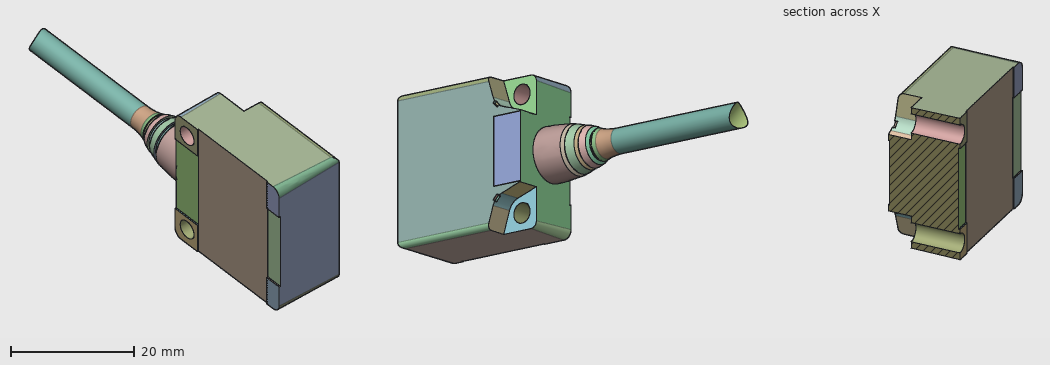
import cadquery as cq
import math

TOTAL_LENGTH = 66.0
HOUSING_SIZE = 26.0
HOUSING_DEPTH = 13.0
HALF_SIZE = HOUSING_SIZE / 2

DRAFT = 0.1
FRONT_CORNER_RADIUS = 1.5
BACK_CORNER_RADIUS = 0.9
BACK_EDGE_RADIUS = 1.0

PAD_RELIEF = 0.2
PAD_HEIGHT = 5.6
LEFT_PAD_WIDTH = 5.6
RIGHT_PAD_WIDTH = 3.1
SIDE_STRIP_RELIEF = 0.25

BACK_RECESS_HEIGHT = 11.75
BACK_RECESS_DEPTH = 0.2

HOLE_DIAMETER = 3.4
HOLE_INSET = 3.05
HOLE_HEIGHT = HALF_SIZE - HOLE_INSET
CLEARANCE_RADIUS = 2.8
CLEARANCE_ANGLE = math.radians(18)
CLEARANCE_FLOOR = 8.85
NOTCH_WIDTH = 1.2
NOTCH_DEPTH = 0.5
NOTCH_BITE = 0.4

CABLE_DIAMETER = 4.3
CABLE_RADIUS = CABLE_DIAMETER / 2
CABLE_Y = 4.95
CABLE_END = HOUSING_SIZE - TOTAL_LENGTH
CABLE_END_HOLLOW = 0.9
BOOT_RADIUS = 4.75
BOOT_SHOULDER_RADIUS = 4.35
BOOT_SHOULDER_X = -5.4
BOOT_START_X = -14.3
SHOULDER_BULGE = 0.1
RIBS = [
    (-11.35, 2.5, -10.55, 2.8),
    (-9.8, 3.2, -8.6, 3.55),
    (-7.8, 3.7, -6.2, 4.15),
]
GROOVES = [(2.6, -10.15), (3.2, -8.2), (3.75, -5.8)]


def rounded_section(y, inset, radius):
    """Housing cross-section at depth y with top, bottom and right sides moved in by inset."""
    width = HOUSING_SIZE - inset
    height = HOUSING_SIZE - 2 * inset
    return (
        cq.Sketch()
        .rect(width, height)
        .vertices()
        .fillet(radius)
        .moved(cq.Location(cq.Plane((width / 2, y, 0), (1, 0, 0), (0, -1, 0))))
    )


def make_body():
    """Drafted housing with rounded corners and rounded back edges."""
    front = rounded_section(0, 0, FRONT_CORNER_RADIUS)
    back = rounded_section(HOUSING_DEPTH, DRAFT, BACK_CORNER_RADIUS)
    body = cq.Workplane().placeSketch(front, back).loft()

    back_half_size = HALF_SIZE - DRAFT
    side_profile = (
        cq.Workplane("YZ")
        .polyline(
            [
                (0, -HALF_SIZE),
                (HOUSING_DEPTH, -back_half_size),
                (HOUSING_DEPTH, back_half_size),
                (0, HALF_SIZE),
            ]
        )
        .close()
        .extrude(HOUSING_SIZE)
        .edges("|X and >Y")
        .fillet(BACK_EDGE_RADIUS)
    )
    return body.intersect(side_profile)


def face_block(x_start, x_end, height, depth):
    """Block between y = 0 and y = depth, centred on z = 0."""
    block = cq.Workplane().box(x_end - x_start, depth, height, centered=(False, False, True))
    return block.translate((x_start, 0, 0))


def relieve_front(body):
    """Lower the front face everywhere except at the four corner pads."""
    right_pad_x = HOUSING_SIZE - RIGHT_PAD_WIDTH
    strip_height = HOUSING_SIZE - 2 * PAD_HEIGHT
    body = body.cut(face_block(LEFT_PAD_WIDTH, right_pad_x, HOUSING_SIZE, PAD_RELIEF))
    body = body.cut(face_block(0, LEFT_PAD_WIDTH, strip_height, SIDE_STRIP_RELIEF))
    return body.cut(face_block(right_pad_x, HOUSING_SIZE, strip_height, SIDE_STRIP_RELIEF))


def relieve_back(body):
    """Shallow recess in the back face, as wide along X as the left pads."""
    recess = face_block(0, LEFT_PAD_WIDTH, BACK_RECESS_HEIGHT, BACK_RECESS_DEPTH)
    return body.cut(recess.translate((0, HOUSING_DEPTH - BACK_RECESS_DEPTH, 0)))


def make_clearance():
    """Cut behind the upper hole: two flat walls joined by an arc about the hole axis."""
    def around_hole(angle):
        return (
            HOLE_INSET + CLEARANCE_RADIUS * math.cos(angle),
            HOLE_HEIGHT + CLEARANCE_RADIUS * math.sin(angle),
        )

    arc_start = around_hole(CLEARANCE_ANGLE - math.pi / 2)
    arc_middle = around_hole(-math.pi / 4)
    arc_end = around_hole(-CLEARANCE_ANGLE)
    slope = math.tan(CLEARANCE_ANGLE)
    left_wall_z = arc_start[1] - arc_start[0] * slope
    top_wall_x = arc_end[0] + (HALF_SIZE - arc_end[1]) * slope
    depth = HOUSING_DEPTH - CLEARANCE_FLOOR

    pocket = (
        cq.Workplane("XZ", origin=(0, CLEARANCE_FLOOR, 0))
        .moveTo(0, left_wall_z)
        .lineTo(*arc_start)
        .threePointArc(arc_middle, arc_end)
        .lineTo(top_wall_x, HALF_SIZE)
        .lineTo(0, HALF_SIZE)
        .close()
        .extrude(-depth)
    )
    notch = (
        cq.Workplane()
        .box(CLEARANCE_RADIUS + NOTCH_BITE, NOTCH_DEPTH, NOTCH_WIDTH, centered=(False, False, True))
        .rotate((0, 0, 0), (0, 1, 0), 45)
        .translate((HOLE_INSET, HOUSING_DEPTH - NOTCH_DEPTH, HOLE_HEIGHT))
    )
    return pocket.union(notch)


def make_cable():
    """Cable and ribbed strain relief, turned about the cable axis."""
    profile = (
        cq.Workplane("XY")
        .moveTo(CABLE_END, 0)
        .lineTo(CABLE_END, CABLE_RADIUS)
        .lineTo(BOOT_START_X, CABLE_RADIUS)
        .tangentArcPoint(RIBS[0][:2], relative=False)
    )
    groove_ends = [rib[:2] for rib in RIBS[1:]] + [(BOOT_SHOULDER_X, BOOT_SHOULDER_RADIUS)]
    for rib, (floor_radius, floor_end), groove_end in zip(RIBS, GROOVES, groove_ends):
        rib_end_x, rib_end_radius = rib[2:]
        profile = (
            profile.lineTo(rib_end_x, rib_end_radius)
            .lineTo(rib_end_x, floor_radius)
            .lineTo(floor_end, floor_radius)
            .lineTo(*groove_end)
        )
    profile = (
        profile.sagittaArc((0, BOOT_RADIUS), SHOULDER_BULGE)
        .lineTo(0, 0)
        .close()
    )
    cable = profile.revolve(360, (0, 0, 0), (1, 0, 0))

    hollow_radius = (CABLE_RADIUS**2 + CABLE_END_HOLLOW**2) / (2 * CABLE_END_HOLLOW)
    hollow = (
        cq.Workplane("XY")
        .center(CABLE_END + CABLE_END_HOLLOW - hollow_radius, 0)
        .circle(hollow_radius)
        .extrude(2 * CABLE_RADIUS, both=True)
        .rotate((0, 0, 0), (1, 0, 0), 45)
    )
    return cable.cut(hollow).translate((0, CABLE_Y, 0))


housing = relieve_back(relieve_front(make_body()))
clearance = make_clearance()
housing = housing.cut(clearance).cut(clearance.mirror("XY"))
holes = (
    cq.Workplane("XZ")
    .pushPoints([(HOLE_INSET, HOLE_HEIGHT), (HOLE_INSET, -HOLE_HEIGHT)])
    .circle(HOLE_DIAMETER / 2)
    .extrude(-HOUSING_DEPTH)
)
result = housing.cut(holes).union(make_cable())